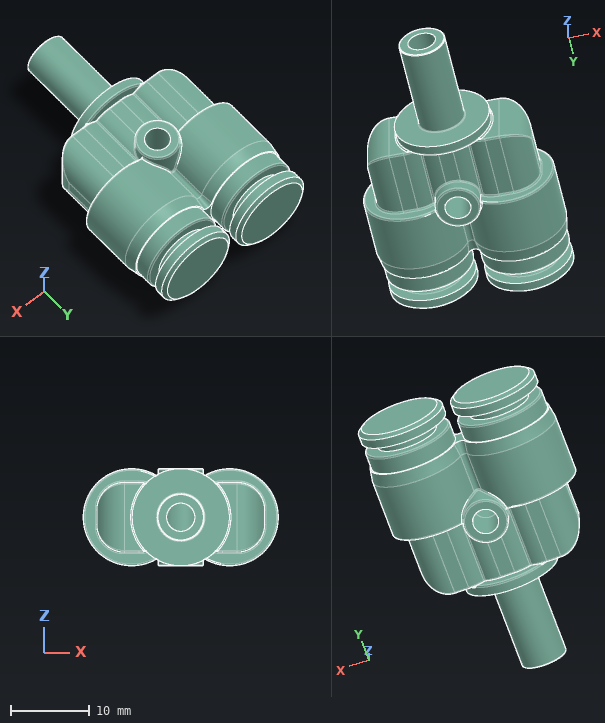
import cadquery as cq
import math

OVERALL_LENGTH = 37.0
SOCKET_RADIUS = 6.2
SOCKET_OFFSET = 6.25
SOCKET_CENTERS = (-SOCKET_OFFSET, SOCKET_OFFSET)
EDGE_ROUND = 0.2

FLANGE_START = 12.1
BODY_START = 13.5
SOCKET_START = 22.3
TAPER_START = 30.0
TAPER_END = 31.7
COLLAR_END = 34.0
RING_START = 35.35

STEM_RADIUS = 3.0
STEM_BORE_RADIUS = 1.8
STEM_EDGE = 0.1
FLANGE_RADIUS = SOCKET_RADIUS

LOBE_HALF_WIDTH = 4.45
LOBE_CORNER_RADIUS = 3.5

WEB_FILLET = 0.5
WEB_MOUTH_FILLET = 0.75

TAPER_END_RADIUS = 5.9
COLLAR_RADIUS = 5.72
NECK_RADIUS = 3.96
NECK_ROUND = 0.3
RING_CHAMFER_LENGTH = 0.45
RING_CHAMFER_DEPTH = 0.6

BOSS_RADIUS = 2.9
BOSS_Y = 21.9
BOSS_HALF_HEIGHT = SOCKET_RADIUS
BOSS_HOLE_RADIUS = 1.65
BOSS_BASE_ROUND = 0.15
BOSS_CLEARANCE = 3.0

SELECT_MARGIN = 0.01


def cylinder_along_y(radius, start, end):
    """Cylinder on the Y axis between two stations."""
    return section_at(start).circle(radius).extrude(end - start)


def cylinder_along_z(radius):
    """Full-height cylinder on the axis of the cross boss."""
    return cq.Workplane("XY").center(0, BOSS_Y).circle(radius).extrude(BOSS_HALF_HEIGHT, both=True)


def section_at(y):
    """XZ sketch plane at station y, extruding toward +Y; its horizontal axis is -X."""
    return cq.Workplane(cq.Plane(origin=(0, y, 0), xDir=(-1, 0, 0), normal=(0, 1, 0)))


def slab_from(y, depth):
    """Block wider and taller than the part, running from station y toward +Y."""
    return section_at(y).rect(4 * SOCKET_OFFSET, 4 * SOCKET_RADIUS).extrude(depth)


def revolve_about_y(profile):
    """Turn a closed XY half profile about the Y axis."""
    return profile.close().revolve(360, (0, 0, 0), (0, 1, 0))


def edges_within(half_x, y_range, half_z):
    """Selector for edges lying wholly in a box centred on the Y axis."""
    low = (-half_x, y_range[0] - SELECT_MARGIN, -half_z)
    high = (half_x, y_range[1] + SELECT_MARGIN, half_z)
    return cq.selectors.BoxSelector(low, high, boundingbox=True)


def make_body(body_end):
    """Three merged lobes up to body_end, with rounded valleys and rounded corners at the stem end."""
    side = 2 * LOBE_HALF_WIDTH
    length = body_end - BODY_START
    body = cq.Workplane("XY")
    for x in (-SOCKET_OFFSET, 0, SOCKET_OFFSET):
        lobe = section_at(BODY_START).center(x, 0).rect(side, side).extrude(length)
        body = body.union(lobe.edges("|Y").fillet(LOBE_CORNER_RADIUS))

    valley_half_x = SOCKET_OFFSET / 2 + EDGE_ROUND
    valley_half_z = LOBE_HALF_WIDTH - EDGE_ROUND
    valleys = edges_within(valley_half_x, (BODY_START, body_end), valley_half_z)
    body = body.edges("|Y").edges(valleys).fillet(EDGE_ROUND)

    outline_width = 2 * (SOCKET_OFFSET + LOBE_HALF_WIDTH)
    outline = cq.Workplane("XY").center(0, BODY_START + length / 2).rect(outline_width, length)
    outline = outline.extrude(LOBE_HALF_WIDTH, both=True).edges("|Z and <Y").fillet(LOBE_CORNER_RADIUS)
    return body.intersect(outline).faces("<Y").edges().fillet(EDGE_ROUND)


def add_boss(support):
    """Put the cross boss on a support reaching past it on all sides and round the inner corner."""
    boss_start = BOSS_Y - BOSS_RADIUS
    boss_end = BOSS_Y + BOSS_RADIUS
    base = edges_within(BOSS_RADIUS + SELECT_MARGIN, (boss_start, boss_end), BOSS_HALF_HEIGHT - SELECT_MARGIN)
    return support.union(cylinder_along_z(BOSS_RADIUS)).edges(base).fillet(BOSS_BASE_ROUND)


def before_sockets(shape):
    """Part of a shape on the stem side of the socket faces."""
    return shape.intersect(slab_from(0, SOCKET_START))


def make_body_with_boss():
    """Body rounded into the socket faces and into the stem side of the boss."""
    plate = slab_from(SOCKET_START, EDGE_ROUND)
    root = edges_within(2 * SOCKET_OFFSET, (SOCKET_START, SOCKET_START), LOBE_HALF_WIDTH + SELECT_MARGIN)
    rooted_body = make_body(SOCKET_START).union(plate).edges(root).fillet(EDGE_ROUND)
    bossed_body = add_boss(make_body(BOSS_Y + BOSS_RADIUS + BOSS_CLEARANCE))
    return before_sockets(rooted_body).union(before_sockets(bossed_body))


def make_boss_on_barrels():
    """Socket side of the boss, rounded into the barrels and the web."""
    start = BOSS_Y - BOSS_RADIUS - BOSS_CLEARANCE
    length = TAPER_START - start
    support = web_section(start, SOCKET_RADIUS, WEB_FILLET).extrude(length)
    for x in SOCKET_CENTERS:
        support = support.union(section_at(start).center(x, 0).circle(SOCKET_RADIUS).extrude(length))
    surroundings = cylinder_along_z(BOSS_RADIUS + EDGE_ROUND)
    return add_boss(support).intersect(surroundings).intersect(slab_from(SOCKET_START, length))


def make_socket(x):
    """Barrel with tapered mouth, collar, neck and release ring."""
    profile = (
        cq.Workplane("XY")
        .moveTo(0, SOCKET_START)
        .lineTo(SOCKET_RADIUS - EDGE_ROUND, SOCKET_START)
        .radiusArc((SOCKET_RADIUS, SOCKET_START + EDGE_ROUND), -EDGE_ROUND)
        .lineTo(SOCKET_RADIUS, TAPER_START)
        .lineTo(TAPER_END_RADIUS, TAPER_END)
        .lineTo(COLLAR_RADIUS, TAPER_END)
        .lineTo(COLLAR_RADIUS, COLLAR_END - EDGE_ROUND)
        .radiusArc((COLLAR_RADIUS - EDGE_ROUND, COLLAR_END), -EDGE_ROUND)
        .lineTo(NECK_RADIUS, COLLAR_END)
        .lineTo(NECK_RADIUS, RING_START - NECK_ROUND)
        .radiusArc((NECK_RADIUS + NECK_ROUND, RING_START), NECK_ROUND)
        .lineTo(COLLAR_RADIUS, RING_START)
        .lineTo(COLLAR_RADIUS, OVERALL_LENGTH - RING_CHAMFER_LENGTH)
        .lineTo(COLLAR_RADIUS - RING_CHAMFER_DEPTH, OVERALL_LENGTH)
        .lineTo(0, OVERALL_LENGTH)
    )
    return revolve_about_y(profile).translate((x, 0, 0))


def web_section(y, barrel_radius, fillet):
    """Web outline at station y: concave arcs tangent to both barrels, pointed toward their axes."""
    arc_center_z = math.sqrt((barrel_radius + fillet) ** 2 - SOCKET_OFFSET**2)
    blend = barrel_radius / (barrel_radius + fillet)
    tangent_x = SOCKET_OFFSET * (1 - blend)
    tangent_z = arc_center_z * blend
    waist_z = arc_center_z - fillet
    return (
        section_at(y)
        .moveTo(-tangent_x, tangent_z)
        .threePointArc((0, waist_z), (tangent_x, tangent_z))
        .lineTo(SOCKET_OFFSET / 2, 0)
        .lineTo(tangent_x, -tangent_z)
        .threePointArc((0, -waist_z), (-tangent_x, -tangent_z))
        .lineTo(-SOCKET_OFFSET / 2, 0)
        .close()
    )


def make_web():
    """Fill between the barrels, widening where their mouths taper."""
    straight = web_section(SOCKET_START, SOCKET_RADIUS, WEB_FILLET).extrude(TAPER_START - SOCKET_START)
    lower_wire = web_section(TAPER_START, SOCKET_RADIUS, WEB_FILLET).val()
    upper_wire = web_section(TAPER_END, TAPER_END_RADIUS, WEB_MOUTH_FILLET).val()
    return straight.union(cq.Workplane(cq.Solid.makeLoft([lower_wire, upper_wire], True)))


def make_flange():
    """Round flange, rounded at the back and blended into the flat end face of the body."""
    flange = cylinder_along_y(FLANGE_RADIUS, FLANGE_START, BODY_START)
    flange = flange.faces(">Y").edges().fillet(EDGE_ROUND)
    blend_start = BODY_START - EDGE_ROUND
    blend_profile = (
        cq.Workplane("XY")
        .moveTo(0, blend_start)
        .lineTo(FLANGE_RADIUS, blend_start)
        .radiusArc((FLANGE_RADIUS + EDGE_ROUND, BODY_START), -EDGE_ROUND)
        .lineTo(0, BODY_START)
    )
    face_width = 2 * (SOCKET_OFFSET + LOBE_HALF_WIDTH - LOBE_CORNER_RADIUS)
    face_height = 2 * (LOBE_HALF_WIDTH - EDGE_ROUND)
    face_zone = section_at(blend_start).rect(face_width, face_height).extrude(EDGE_ROUND)
    return flange.union(revolve_about_y(blend_profile).intersect(face_zone))


def make_stem():
    """Plug-in tube end with a chamfered tip."""
    stem = cylinder_along_y(STEM_RADIUS, 0, BODY_START)
    return stem.faces("<Y").edges().chamfer(STEM_EDGE)


result = make_body_with_boss()
for socket_x in SOCKET_CENTERS:
    result = result.union(make_socket(socket_x))
result = result.union(make_web()).union(make_boss_on_barrels())

boss_envelope = cylinder_along_z(BOSS_RADIUS)
sharp_rims = boss_envelope.cut(boss_envelope.edges("%CIRCLE").fillet(EDGE_ROUND))
result = result.cut(sharp_rims)

result = result.union(make_flange()).union(make_stem())
root_reach = STEM_RADIUS + SELECT_MARGIN
stem_root = edges_within(root_reach, (FLANGE_START, FLANGE_START), root_reach)
result = result.edges(stem_root).fillet(STEM_EDGE)

bore = cylinder_along_y(STEM_BORE_RADIUS, 0, BOSS_Y).cut(boss_envelope)
result = result.cut(bore).cut(cylinder_along_z(BOSS_HOLE_RADIUS))